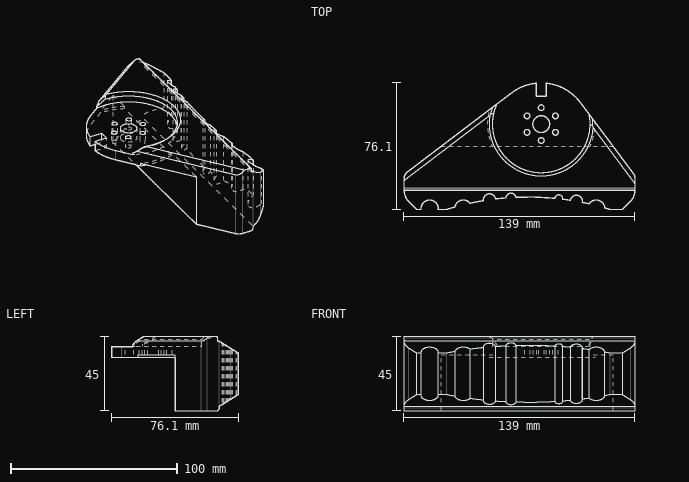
import cadquery as cq
import math

LENGTH = 139.0
HEIGHT = 45.0
DEPTH = 76.3
PLATE_BOTTOM_Z = 33.9
WALL_BACK_Y = 38.1

HUB_X = 82.5
HUB_Y = 51.4
HUB_RADIUS = 29.3
NOSE_Y = DEPTH - HUB_RADIUS
LEFT_CORNER_Y = 21.1
RIGHT_CORNER_Y = 20.4
REAR_CORNER_RADIUS = 4.9
SLOPE_CHAMFER = 2.9

RECESS_FLOOR_Z = 38.9
RECESS_RIM_CHAMFER = 2.0
TOLERANCE = 0.01
BOSS_RADIUS = 32.2
BOSS_BOTTOM_Z = 32.2

BORE_RADIUS = 5.0
BOLT_HOLE_RADIUS = 1.7
BOLT_CIRCLE_RADIUS = 9.9
BOLT_COUNT = 6
SLOT_WIDTH = 6.0
SLOT_FLOOR_OFFSET = 16.8

CORNER_CUT = 7.6
CORNER_RADIUS = 9.7

ARCH_LEFT_X = 25.5
ARCH_RIGHT_X = 124.0
ARCH_RISE = 7.5

GROOVES = [
    (15.4, 0.5, 5.1),
    (35.7, 0.5, 5.1),
    (51.4, 5.8, 3.6),
    (64.3, 7.0, 2.9),
    (93.1, 6.7, 2.2),
    (103.6, 5.0, 3.6),
    (115.6, 0.5, 5.1),
]

TOP_STEP_Y = 12.5
NOSE_ROOT_Y = 11.4
STEP_HEIGHT = 2.9
NOSE_LOW_Z = 10.0
NOSE_HIGH_Z = 35.0
TOP_EDGE_RADIUS = 0.8
BOTTOM_EDGE_RADIUS = 2.0


def tangent_point(corner_x, corner_y, side):
    """Touch point on the hub end of a line from a corner; side is -1 left, +1 right."""
    dx = corner_x - HUB_X
    dy = corner_y - NOSE_Y
    angle = math.atan2(dy, dx) + side * math.acos(HUB_RADIUS / math.hypot(dx, dy))
    return (HUB_X + HUB_RADIUS * math.cos(angle), NOSE_Y + HUB_RADIUS * math.sin(angle))


LEFT_CORNER = (0, LEFT_CORNER_Y)
RIGHT_CORNER = (LENGTH, RIGHT_CORNER_Y)
LEFT_TANGENT = tangent_point(*LEFT_CORNER, -1)
RIGHT_TANGENT = tangent_point(*RIGHT_CORNER, 1)


def cylinder(x, y, radius, bottom, top):
    return cq.Workplane("XY", origin=(x, y, bottom)).circle(radius).extrude(top - bottom)


def plan_prism():
    """Full-height body with the outline seen from above."""
    prism = (
        cq.Workplane("XY")
        .moveTo(CORNER_CUT, 0)
        .lineTo(ARCH_LEFT_X, 0)
        .threePointArc(((ARCH_LEFT_X + ARCH_RIGHT_X) / 2, ARCH_RISE), (ARCH_RIGHT_X, 0))
        .lineTo(LENGTH - CORNER_CUT, 0)
        .lineTo(LENGTH, CORNER_CUT)
        .lineTo(*RIGHT_CORNER)
        .lineTo(*RIGHT_TANGENT)
        .threePointArc((HUB_X, DEPTH), LEFT_TANGENT)
        .lineTo(*LEFT_CORNER)
        .lineTo(0, CORNER_CUT)
        .close()
        .extrude(HEIGHT)
    )
    for x in (0, LENGTH):
        front_edge = cq.selectors.NearestToPointSelector((x, CORNER_CUT, HEIGHT / 2))
        prism = prism.edges(front_edge).fillet(CORNER_RADIUS)
    for x, y in (LEFT_CORNER, RIGHT_CORNER):
        rear_edge = cq.selectors.NearestToPointSelector((x, y, HEIGHT / 2))
        prism = prism.edges(rear_edge).fillet(REAR_CORNER_RADIUS)
    return prism


def side_section():
    """L-shaped section of wall and plate, with the bevelled nose at the front."""
    points = [
        (WALL_BACK_Y, 0),
        (NOSE_ROOT_Y, 0),
        (NOSE_ROOT_Y, STEP_HEIGHT),
        (0, NOSE_LOW_Z),
        (0, NOSE_HIGH_Z),
        (NOSE_ROOT_Y, HEIGHT - STEP_HEIGHT),
        (TOP_STEP_Y, HEIGHT - STEP_HEIGHT),
        (TOP_STEP_Y, HEIGHT),
        (DEPTH, HEIGHT),
        (DEPTH, PLATE_BOTTOM_Z),
        (WALL_BACK_Y, PLATE_BOTTOM_Z),
    ]
    section = cq.Workplane("YZ").polyline(points).close().extrude(LENGTH)
    for y, z, radius in ((TOP_STEP_Y, HEIGHT, TOP_EDGE_RADIUS), (NOSE_ROOT_Y, 0, BOTTOM_EDGE_RADIUS)):
        edge = cq.selectors.NearestToPointSelector((LENGTH / 2, y, z))
        section = section.edges(edge).fillet(radius)
    return section


def slope_chamfer(corner, tangent):
    """Triangular bar that removes the upper edge of one sloping side, past both of its ends."""
    along = cq.Vector(tangent[0] - corner[0], tangent[1] - corner[1], 0)
    outward = cq.Vector(-along.y, along.x, 0).normalized()
    if along.x < 0:
        outward = outward * -1
    start = cq.Vector(*corner, HEIGHT) - along
    plane = cq.Plane(origin=start, xDir=outward, normal=along)
    up = math.copysign(SLOPE_CHAMFER, plane.yDir.z)
    triangle = [(-2 * SLOPE_CHAMFER, up), (SLOPE_CHAMFER, up), (SLOPE_CHAMFER, -2 * up)]
    return cq.Workplane(plane).polyline(triangle).close().extrude(3 * along.Length)


def on_recess_rim(edge):
    """True for the upper recess edges, on the top face and down both slope chamfers."""
    on_wall = all(
        abs(math.hypot(point.x - HUB_X, point.y - HUB_Y) - HUB_RADIUS) < TOLERANCE
        for point in (edge.startPoint(), edge.endPoint())
    )
    lowest_z = edge.BoundingBox().zmin
    return on_wall and lowest_z > HEIGHT - SLOPE_CHAMFER - TOLERANCE


def hub_slot():
    """Slot open at the rounded end, cut through the plate."""
    floor_y = HUB_Y + SLOT_FLOOR_OFFSET
    slot = cq.Workplane("XY").box(SLOT_WIDTH, DEPTH, HEIGHT, centered=(True, False, False))
    return slot.translate((HUB_X, floor_y, 0))


outline = plan_prism()
boss = cylinder(HUB_X, HUB_Y, BOSS_RADIUS, BOSS_BOTTOM_Z, RECESS_FLOOR_Z).intersect(outline)
result = outline.intersect(side_section()).union(boss)

for corner, tangent in ((LEFT_CORNER, LEFT_TANGENT), (RIGHT_CORNER, RIGHT_TANGENT)):
    result = result.cut(slope_chamfer(corner, tangent))
result = result.cut(cylinder(HUB_X, HUB_Y, HUB_RADIUS, RECESS_FLOOR_Z, HEIGHT))
recess_rim = [edge for edge in result.edges().vals() if on_recess_rim(edge)]
result = result.newObject(recess_rim).chamfer(RECESS_RIM_CHAMFER)

for x, y, radius in GROOVES:
    result = result.cut(cylinder(x, y, radius, 0, HEIGHT))

result = result.cut(hub_slot())
result = result.cut(cylinder(HUB_X, HUB_Y, BORE_RADIUS, 0, HEIGHT))
for index in range(BOLT_COUNT):
    angle = math.radians(90 + index * 360 / BOLT_COUNT)
    hole_x = HUB_X + BOLT_CIRCLE_RADIUS * math.cos(angle)
    hole_y = HUB_Y + BOLT_CIRCLE_RADIUS * math.sin(angle)
    result = result.cut(cylinder(hole_x, hole_y, BOLT_HOLE_RADIUS, 0, HEIGHT))